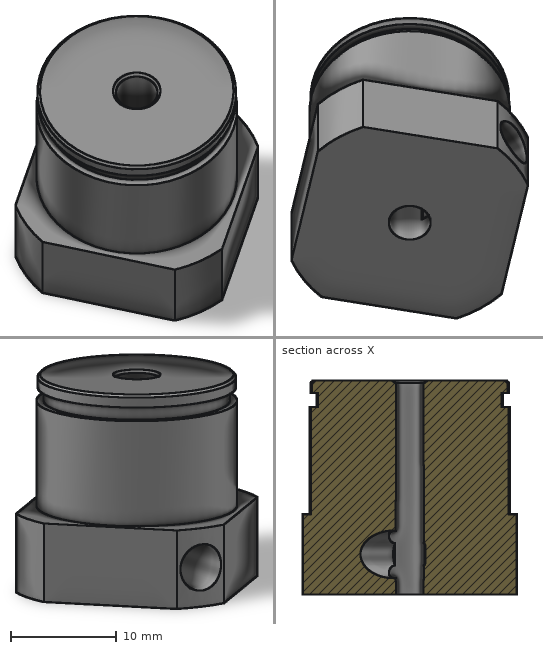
import cadquery as cq

base_width = 20.32
base_corner_diameter = 24.13
base_height = 7.62

total_height = 20.32
body_diameter = 19.05
groove_diameter = 17.7
cap_diameter = 18.85
cap_height = 1.22
groove_height = 1.3
cap_chamfer = 0.254
groove_top = total_height - cap_height
groove_bottom = groove_top - groove_height

bore_diameter = 3.95
bore_chamfer = 0.27
port_diameter = 4.48
port_z = base_height / 2
port_angle = 135.0


def cylinder(diameter, bottom, top):
    """Solid cylinder on the Z axis between two heights."""
    return cq.Workplane("XY").workplane(offset=bottom).circle(diameter / 2).extrude(top - bottom)


def make_base():
    block = cq.Workplane("XY").rect(base_width, base_width).extrude(base_height)
    return block.intersect(cylinder(base_corner_diameter, 0, base_height))


def make_upper_body():
    body = cylinder(body_diameter, base_height, groove_bottom)
    groove = cylinder(groove_diameter, groove_bottom, groove_top)
    cap = cylinder(cap_diameter, groove_top, total_height).faces(">Z").chamfer(cap_chamfer)
    return body.union(groove).union(cap)


def make_bore():
    """Through bore with a chamfered mouth at the top."""
    bore = cylinder(bore_diameter, 0, total_height)
    mouth = cq.Workplane(
        cq.Solid.makeCone(
            bore_diameter / 2,
            bore_diameter / 2 + bore_chamfer,
            bore_chamfer,
            cq.Vector(0, 0, total_height - bore_chamfer),
        )
    )
    return bore.union(mouth)


def make_port():
    """Radial hole from a rounded corner of the base to the bore axis."""
    port = cq.Workplane("YZ").center(0, port_z).circle(port_diameter / 2).extrude(base_corner_diameter / 2)
    return port.rotate((0, 0, 0), (0, 0, 1), port_angle)


result = make_base().union(make_upper_body()).cut(make_bore()).cut(make_port())